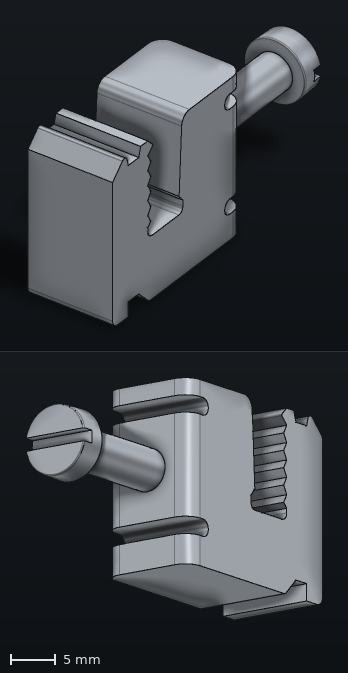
import cadquery as cq
import math

BODY_WIDTH = 11.7
BODY_LENGTH = 25.0
BODY_HEIGHT = 21.5
BACK_CORNER_RADIUS = 2.0
BOTTOM_FRONT_RADIUS = 1.0
FRONT_CHAMFER = 2.0

NOTCH_FRONT = 3.0
NOTCH_WIDTH = 2.0
NOTCH_DEPTH = 2.0
NOTCH_LIP_RADIUS = 0.5

GROOVE_FRONT = 3.0
GROOVE_WIDTH = 2.0
GROOVE_DEPTH = 1.3
GROOVE_WALL_ANGLE = 15.0
NOSE_RADIUS = 0.5

TOOTH_COUNT = 5
TOOTH_PITCH = 2.0
TOOTH_FLANK_ANGLE = 30.0
TOOTH_ROOT_Y = 6.73
FIRST_TOOTH_Z = 10.5
TOP_TOOTH_HEIGHT = 1.0
TOP_TOOTH_RADIUS = 0.1

THROAT_FLOOR_Z = 8.5
THROAT_FRONT_RADIUS = 0.9
THROAT_BACK_RADIUS = 0.75
UNDERCUT_Y = 13.4
UNDERCUT_TOP_Z = 10.1
JAW_LIP_Y = 12.7
JAW_LIP_Z = 10.95
JAW_TOP_Y = 13.25
JAW_TOP_RADIUS = 1.5

BACK_SLOT_WIDTH = 2.0
BACK_SLOT_DEPTH = 3.6
BACK_SLOT_HEIGHTS = (4.5, 18.5)

SCREW_Z = 11.5
SHANK_DIAMETER = 5.0
SHANK_LENGTH = 14.0
HEAD_DIAMETER = 8.5
HEAD_TAPER_ANGLE = 1.7
HEAD_HEIGHT = 3.3
HEAD_EDGE_RADIUS = 0.15
DRIVE_SLOT_WIDTH = 1.5
DRIVE_SLOT_DEPTH = 1.4


def rounded_outline(corners):
    """Closed YZ outline through (y, z, radius) corners; radius 0 keeps a corner sharp."""
    outline = None
    for index, (y, z, radius) in enumerate(corners):
        corner = cq.Vector(y, z)
        previous = cq.Vector(*corners[index - 1][:2])
        following = cq.Vector(*corners[(index + 1) % len(corners)][:2])
        to_previous = (previous - corner).normalized()
        to_following = (following - corner).normalized()
        half_angle = to_previous.getAngle(to_following) / 2
        tangent_length = radius / math.tan(half_angle)
        start = corner + to_previous * tangent_length
        if outline is None:
            outline = cq.Workplane("YZ").moveTo(start.x, start.y)
        else:
            outline = outline.lineTo(start.x, start.y)
        if radius > 0:
            end = corner + to_following * tangent_length
            bisector = (to_previous + to_following).normalized()
            middle = corner + bisector * (radius / math.sin(half_angle) - radius)
            outline = outline.threePointArc((middle.x, middle.y), (end.x, end.y))
    return outline.close()


def serration_corners():
    """Sharp teeth from the bottom root up to the root below the top tooth."""
    half_pitch = TOOTH_PITCH / 2
    tooth_depth = half_pitch * math.tan(math.radians(TOOTH_FLANK_ANGLE))
    tip_y = TOOTH_ROOT_Y + tooth_depth
    corners = [(TOOTH_ROOT_Y, FIRST_TOOTH_Z - tooth_depth, 0)]
    for tooth in range(TOOTH_COUNT):
        tip_z = FIRST_TOOTH_Z + tooth * TOOTH_PITCH
        corners.append((tip_y, tip_z, 0))
        corners.append((TOOTH_ROOT_Y, tip_z + half_pitch, 0))
    return corners


def make_body():
    groove_rise = GROOVE_DEPTH * math.tan(math.radians(GROOVE_WALL_ANGLE))
    groove_floor_z = BODY_HEIGHT - GROOVE_DEPTH
    groove_back = GROOVE_FRONT + GROOVE_WIDTH
    notch_back = NOTCH_FRONT + NOTCH_WIDTH
    top_tooth_y = TOOTH_ROOT_Y + TOP_TOOTH_HEIGHT

    underside = [
        (BODY_LENGTH, 0, 0),
        (notch_back + NOTCH_DEPTH, 0, NOTCH_LIP_RADIUS),
        (notch_back, NOTCH_DEPTH, 0),
        (NOTCH_FRONT, NOTCH_DEPTH, 0),
        (NOTCH_FRONT, 0, 0),
        (0, 0, BOTTOM_FRONT_RADIUS),
    ]
    front_jaw_top = [
        (0, BODY_HEIGHT - FRONT_CHAMFER, 0),
        (FRONT_CHAMFER, BODY_HEIGHT, NOSE_RADIUS),
        (GROOVE_FRONT - groove_rise, BODY_HEIGHT, NOSE_RADIUS),
        (GROOVE_FRONT, groove_floor_z, 0),
        (groove_back, groove_floor_z, 0),
        (groove_back + groove_rise, BODY_HEIGHT, 0),
        (TOOTH_ROOT_Y, BODY_HEIGHT, 0),
        (top_tooth_y, BODY_HEIGHT - TOP_TOOTH_HEIGHT, TOP_TOOTH_RADIUS),
    ]
    throat_and_back_jaw = [
        (TOOTH_ROOT_Y, THROAT_FLOOR_Z, THROAT_FRONT_RADIUS),
        (UNDERCUT_Y, THROAT_FLOOR_Z, THROAT_BACK_RADIUS),
        (UNDERCUT_Y, UNDERCUT_TOP_Z, 0),
        (JAW_LIP_Y, JAW_LIP_Z, 0),
        (JAW_TOP_Y, BODY_HEIGHT, JAW_TOP_RADIUS),
        (BODY_LENGTH, BODY_HEIGHT, 0),
    ]
    serration = serration_corners()[::-1]
    corners = underside + front_jaw_top + serration + throat_and_back_jaw
    body = rounded_outline(corners).extrude(BODY_WIDTH / 2, both=True)
    return body.edges("|Z and >Y").fillet(BACK_CORNER_RADIUS)


def make_back_slot(height):
    end_radius = BACK_SLOT_WIDTH / 2
    end_center_y = BODY_LENGTH - BACK_SLOT_DEPTH + end_radius
    channel = (
        cq.Workplane("XY")
        .box(BODY_WIDTH, BACK_SLOT_DEPTH, BACK_SLOT_WIDTH, centered=(True, False, True))
        .translate((0, end_center_y, height))
    )
    round_end = (
        cq.Workplane("YZ")
        .center(end_center_y, height)
        .circle(end_radius)
        .extrude(BODY_WIDTH / 2, both=True)
    )
    return channel.union(round_end)


def make_screw():
    """Screw along +Y whose shank starts on the back face of the body."""
    back_face = cq.Workplane("XZ", origin=(0, BODY_LENGTH, SCREW_Z))
    shank = back_face.circle(SHANK_DIAMETER / 2).extrude(-SHANK_LENGTH)
    head = (
        back_face.workplane(offset=-SHANK_LENGTH)
        .circle(HEAD_DIAMETER / 2)
        .extrude(-HEAD_HEIGHT, taper=HEAD_TAPER_ANGLE)
        .edges("%CIRCLE")
        .fillet(HEAD_EDGE_RADIUS)
    )
    head_end_y = BODY_LENGTH + SHANK_LENGTH + HEAD_HEIGHT
    drive_slot = cq.Workplane("XY").box(HEAD_DIAMETER, 2 * DRIVE_SLOT_DEPTH, DRIVE_SLOT_WIDTH)
    return shank.union(head).cut(drive_slot.translate((0, head_end_y, SCREW_Z)))


body = make_body()
for slot_height in BACK_SLOT_HEIGHTS:
    body = body.cut(make_back_slot(slot_height))

result = body.union(make_screw())